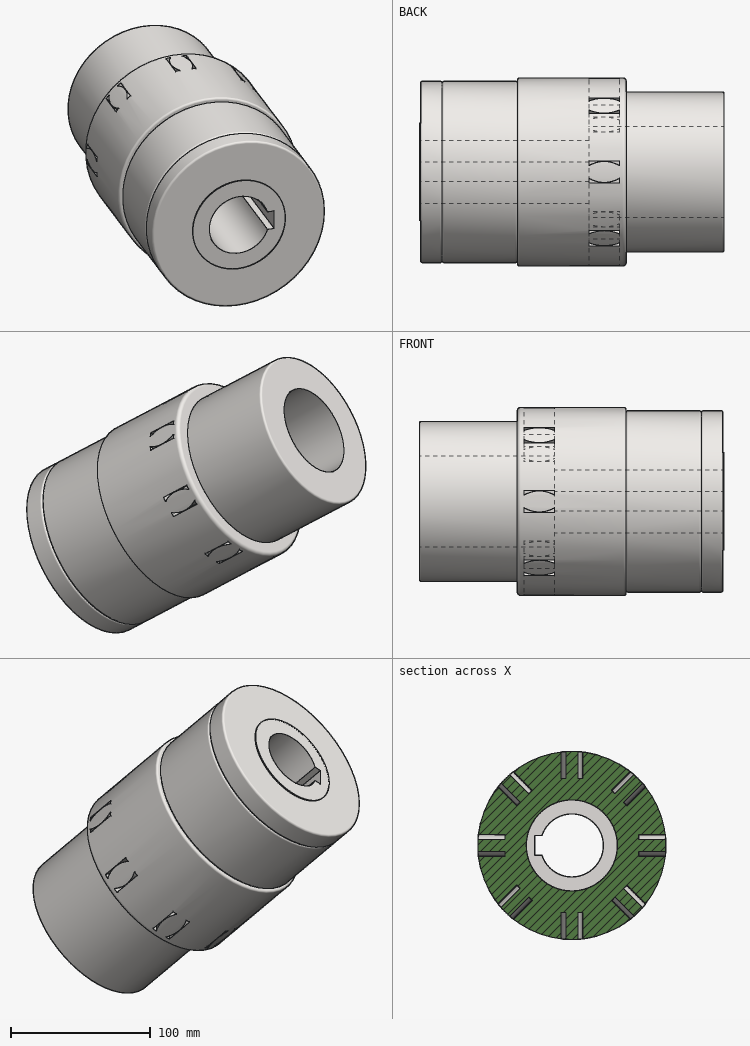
import cadquery as cq

TOTAL_LENGTH = 218.5
END_BOSS_LENGTH = 0.9
END_BOSS_RADIUS = 35.0
RING_END_X = TOTAL_LENGTH - END_BOSS_LENGTH

HUB_RADIUS = 57.5
HOUSING_RADIUS = 67.5
SLEEVE_RADIUS = 65.1
HOUSING_START_X = 70.1
HOUSING_END_X = 148.1
RING_START_X = 202.1

HUB_FILLET = 1.5
HOUSING_FILLET = 2.6
JOINT_FILLET = 1.5

HUB_BORE_RADIUS = 32.5
KEYED_BORE_RADIUS = 22.5
KEYWAY_WIDTH = 14.0
KEYWAY_REACH = 26.5

BLOCK_COUNT = 8
BLOCK_START_X = 75.0
BLOCK_LENGTH = 22.0
BLOCK_WIDTH = 15.5
BLOCK_END_WIDTH = 9.0
BULGE_CLEARANCE = 0.2
BLOCK_FLOOR_RADIUS = 48.0
BLOCK_END_X = BLOCK_START_X + BLOCK_LENGTH
HUB_BORE_DEPTH = BLOCK_END_X


def cylinder(start_x, end_x, radius):
    """Solid cylinder on the X axis between two stations."""
    return cq.Workplane("YZ", origin=(start_x, 0, 0)).circle(radius).extrude(end_x - start_x)


def rounded_sleeve(start_x, end_x):
    """Rear cylinder section with both rims rounded."""
    return cylinder(start_x, end_x, SLEEVE_RADIUS).faces("<X or >X").edges().fillet(JOINT_FILLET)


def outer_body():
    hub = cylinder(0, HOUSING_START_X, HUB_RADIUS).faces("<X").edges().fillet(HUB_FILLET)
    housing = cylinder(HOUSING_START_X, HOUSING_END_X, HOUSING_RADIUS)
    housing = housing.faces("<X").edges().fillet(HOUSING_FILLET)
    housing = housing.faces(">X").edges().fillet(JOINT_FILLET)
    sleeve = rounded_sleeve(HOUSING_END_X, RING_START_X)
    ring = rounded_sleeve(RING_START_X, RING_END_X)
    boss = cylinder(RING_END_X, TOTAL_LENGTH, END_BOSS_RADIUS)
    return hub.union(housing).union(sleeve).union(ring).union(boss)


def bores():
    hub_bore = cylinder(0, HUB_BORE_DEPTH, HUB_BORE_RADIUS)
    keyed_bore = cylinder(0, TOTAL_LENGTH, KEYED_BORE_RADIUS)
    keyway = cq.Workplane("XY").box(
        TOTAL_LENGTH, KEYWAY_REACH, KEYWAY_WIDTH, centered=(False, False, True)
    )
    return hub_bore.union(keyed_bore).union(keyway)


def block_side_gap(side):
    """Clearance between a straight jaw flank and the bulging flank of the top block."""
    middle_x = BLOCK_START_X + BLOCK_LENGTH / 2
    jaw_y = side * BLOCK_WIDTH / 2
    block_end_y = side * BLOCK_END_WIDTH / 2
    return (
        cq.Workplane("XY", origin=(0, 0, BLOCK_FLOOR_RADIUS))
        .moveTo(BLOCK_START_X, block_end_y)
        .threePointArc((middle_x, jaw_y - side * BULGE_CLEARANCE), (BLOCK_END_X, block_end_y))
        .lineTo(BLOCK_END_X, jaw_y)
        .lineTo(BLOCK_START_X, jaw_y)
        .close()
        .extrude(HOUSING_RADIUS - BLOCK_FLOOR_RADIUS)
    )


result = outer_body().cut(bores())
for index in range(BLOCK_COUNT):
    block_angle = index * 360 / BLOCK_COUNT
    for side in (-1, 1):
        result = result.cut(block_side_gap(side).rotate((0, 0, 0), (1, 0, 0), block_angle))